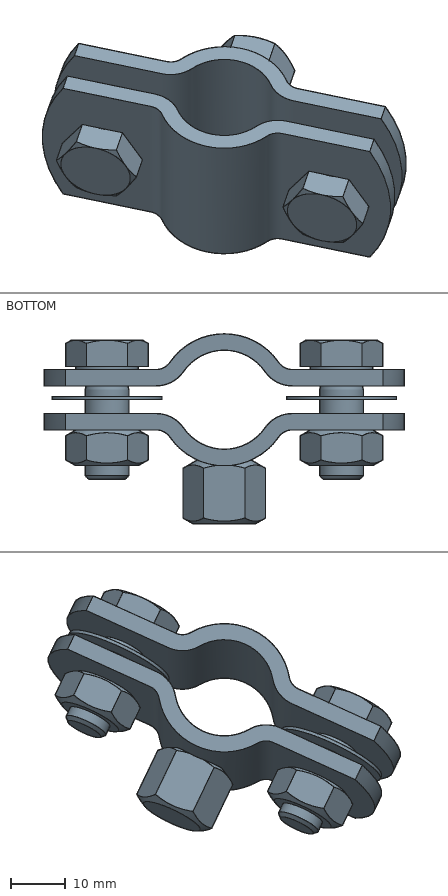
import math
import cadquery as cq


length = 65.5
height = 30.0
thickness = 3.0
strap_gap = 5.0
ring_outer_radius = 12.0
end_arc_depth = 3.9

ring_inner_radius = ring_outer_radius - thickness
flat_inner_y = strap_gap / 2
flat_outer_y = flat_inner_y + thickness
bend_inner_radius = thickness
bend_outer_radius = bend_inner_radius + thickness

across_flats = 13.05
corner_radius = across_flats / math.sqrt(3)
chamfer_slope = math.tan(math.radians(30))
nut_face_diameter = 11.4

bolt_x = 21.3
shank_diameter = 8.0
tip_diameter = 6.6
tip_y = 14.5
runout_diameter = 7.35
runout_start_y = -1.8
runout_length = 1.3
collar_diameter = 11.4
collar_height = 0.5
head_height = 4.8
nut_height = 6.5

washer_diameter = 20.0
washer_thickness = 0.6

connection_nut_top_y = 22.5
connection_nut_height = 11.85
connection_nut_base_diameter = 9.0


def strap():
    """Rear strap (+Y): a ring segment that bends out into two flat wings with rounded ends."""
    bend_center_y = flat_outer_y + bend_inner_radius
    center_distance = ring_outer_radius + bend_inner_radius
    bend_angle = math.asin(bend_center_y / center_distance)
    bend_center_x = center_distance * math.cos(bend_angle)
    mid_bend_angle = (bend_angle + math.pi / 2) / 2

    def on_ring(radius, side):
        return (side * radius * math.cos(bend_angle), radius * math.sin(bend_angle))

    def on_bend(radius, side):
        x = bend_center_x - radius * math.cos(mid_bend_angle)
        return (side * x, bend_center_y - radius * math.sin(mid_bend_angle))

    profile = (
        cq.Workplane("XY", origin=(0, 0, -height / 2))
        .moveTo(-length / 2, flat_outer_y)
        .lineTo(-bend_center_x, flat_outer_y)
        .threePointArc(on_bend(bend_inner_radius, -1), on_ring(ring_outer_radius, -1))
        .threePointArc((0, ring_outer_radius), on_ring(ring_outer_radius, 1))
        .threePointArc(on_bend(bend_inner_radius, 1), (bend_center_x, flat_outer_y))
        .lineTo(length / 2, flat_outer_y)
        .lineTo(length / 2, flat_inner_y)
        .lineTo(bend_center_x, flat_inner_y)
        .threePointArc(on_bend(bend_outer_radius, 1), on_ring(ring_inner_radius, 1))
        .threePointArc((0, ring_inner_radius), on_ring(ring_inner_radius, -1))
        .threePointArc(on_bend(bend_outer_radius, -1), (-bend_center_x, flat_inner_y))
        .lineTo(-length / 2, flat_inner_y)
        .close()
        .extrude(height)
    )
    corner_x = length / 2 - end_arc_depth
    outline = (
        cq.Workplane("XZ")
        .moveTo(-corner_x, height / 2)
        .lineTo(corner_x, height / 2)
        .threePointArc((length / 2, 0), (corner_x, -height / 2))
        .lineTo(-corner_x, -height / 2)
        .threePointArc((-length / 2, 0), (-corner_x, height / 2))
        .close()
        .extrude(-2 * ring_outer_radius)
    )
    return profile.intersect(outline)


def turned(points):
    """Solid of revolution about Y from (radius, y) points; both ends close onto the axis."""
    return cq.Workplane("XY").polyline(points).close().revolve(360, (0, 0, 0), (0, 1, 0))


def hexagon(bottom_y, top_y, bottom_diameter=None, top_diameter=None):
    """Hexagon along Y with corners at +-X; an end with a diameter is conically chamfered to that circle."""
    prism = (
        cq.Workplane("XZ", origin=(0, bottom_y, 0))
        .polygon(6, 2 * corner_radius)
        .extrude(bottom_y - top_y)
    )
    for end_y, direction, diameter in ((bottom_y, 1, bottom_diameter), (top_y, -1, top_diameter)):
        if diameter:
            far_y = end_y + direction * (top_y - bottom_y)
            far_radius = diameter / 2 + (top_y - bottom_y) / chamfer_slope
            cone = turned([(0, end_y), (diameter / 2, end_y), (far_radius, far_y), (0, far_y)])
            prism = prism.intersect(cone)
    return prism


def bolt():
    """Bolt on the Y axis with its head, washer-face collar, nut and retaining washer."""
    shank_radius = shank_diameter / 2
    runout_radius = runout_diameter / 2
    tip_radius = tip_diameter / 2
    head_top_y = -flat_outer_y - collar_height
    shank = turned([
        (0, head_top_y),
        (collar_diameter / 2, head_top_y),
        (collar_diameter / 2, -flat_outer_y),
        (runout_radius, -flat_outer_y),
        (runout_radius, runout_start_y - runout_length),
        (shank_radius, runout_start_y),
        (shank_radius, tip_y - (shank_radius - tip_radius)),
        (tip_radius, tip_y),
        (0, tip_y),
    ])
    head = hexagon(head_top_y - head_height, head_top_y, bottom_diameter=across_flats)
    nut = hexagon(flat_outer_y, flat_outer_y + nut_height, nut_face_diameter, nut_face_diameter)
    washer = cq.Workplane("XZ").circle(washer_diameter / 2).extrude(washer_thickness)
    return shank.union(head).union(nut).union(washer)


def connection_nut():
    """Long nut standing on the ring; its tapered base sinks into the ring wall."""
    base_y = connection_nut_top_y - connection_nut_height
    return hexagon(base_y, connection_nut_top_y, connection_nut_base_diameter, nut_face_diameter)


rear_strap = strap()
front_strap = rear_strap.mirror("XZ")
result = rear_strap.union(front_strap).union(connection_nut())
for side in (-1, 1):
    result = result.union(bolt().translate((side * bolt_x, 0, 0)))